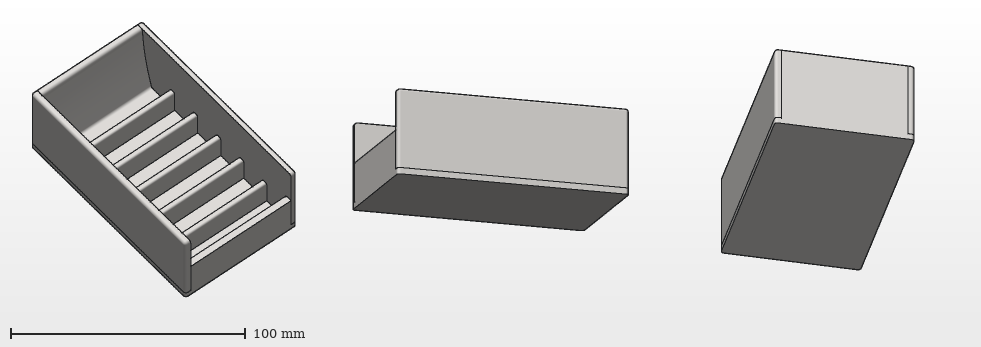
import cadquery as cq

length = 104.0
width = 61.0
height = 38.0

floor_thickness = 2.8
side_thickness = 2.9
end_thickness = 4.0
low_end_height = 20.0
edge_radius = 1.5

divider_count = 5
divider_thickness = 3.0
divider_height = 15.0
divider_radius = 0.9
bay_length = 12.5
divider_pitch = bay_length + divider_thickness

ramp_radius = 130.0
ramp_foot_radius = 1.5

inner_width = width - 2 * side_thickness
low_end_face = length - end_thickness
first_divider_x = low_end_face - divider_count * divider_pitch
ramp_foot_x = first_divider_x - bay_length
ramp_top_z = height - 2 * edge_radius


def block(x_start, x_end, depth, z_start, z_end):
    """Box centred on Y between the given X and Z limits."""
    size = (x_end - x_start, depth, z_end - z_start)
    return cq.Workplane("XY").box(*size, centered=(False, True, False)).translate((x_start, 0, z_start))


def rounded_envelope():
    """Outer block with rounded upright corners and rounded top rim."""
    return block(0, length, width, 0, height).edges("|Z or >Z").fillet(edge_radius)


def tray_profile():
    """Side outline of the floor and both ends, with the curved tall end."""
    return (
        cq.Workplane("XZ", origin=(0, inner_width / 2, 0))
        .moveTo(0, 0)
        .lineTo(length, 0)
        .lineTo(length, low_end_height)
        .lineTo(low_end_face, low_end_height)
        .lineTo(low_end_face, floor_thickness)
        .lineTo(ramp_foot_x, floor_thickness)
        .radiusArc((end_thickness, ramp_top_z), ramp_radius)
        .lineTo(end_thickness, height)
        .lineTo(0, height)
        .close()
    )


def make_tray():
    """Floor, tall end and low end in one body."""
    floor = block(0, length, width, 0, floor_thickness)
    ends = tray_profile().extrude(inner_width)
    tray = floor.union(ends)
    foot = cq.selectors.NearestToPointSelector((ramp_foot_x, 0, floor_thickness))
    tray = tray.edges(foot).fillet(ramp_foot_radius)
    for x, z in ((end_thickness, height), (low_end_face, low_end_height)):
        inner_rim = cq.selectors.NearestToPointSelector((x, 0, z))
        tray = tray.edges(inner_rim).fillet(edge_radius)
    return tray.intersect(rounded_envelope())


def make_divider(x_start):
    """Upright plate between the side walls with both top edges rounded."""
    plate = block(x_start, x_start + divider_thickness, inner_width, floor_thickness, divider_height)
    return plate.edges("|Y and >Z").fillet(divider_radius)


def make_side_frame():
    """Both side walls, joined by the row of dividers, standing on the floor."""
    above_floor = block(0, length, width, floor_thickness, height)
    between_sides = block(0, length, inner_width, floor_thickness, height)
    frame = rounded_envelope().intersect(above_floor).cut(between_sides)
    for index in range(divider_count):
        frame = frame.union(make_divider(first_divider_x + index * divider_pitch))
    return frame


tray = make_tray()
side_frame = make_side_frame()

result = cq.Compound.makeCompound([tray.val(), side_frame.val()])